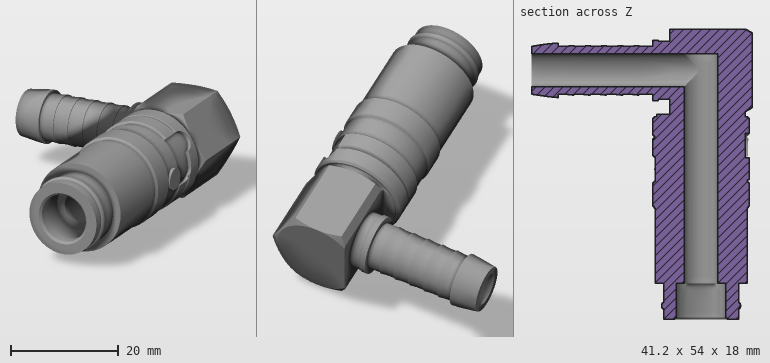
import cadquery as cq
import math


hex_flats = 16.65
hex_half_length = 7.65
hex_corner_radius = hex_flats / math.sqrt(3)
hex_end_radius = hex_flats / 2
hex_chamfer_angle = 30
barb_face_x = -5.85
barb_face_end_y = -8.15

overall_length = 54.0
tip_y = hex_half_length - overall_length
neck_radius = 8.25
sleeve_radius = 17.2 / 2
collar_radius = 18.0 / 2
collar_chamfer = 0.4
collar_end_taper = 0.55
neck_end_y = -8.6
collar_1_end_y = -12.35
collar_2_end_y = -16.2
collar_3_start_y = -20.6
collar_3_end_y = -25.7

shoulder_y = -39.65
nose_radius = 7.0
ring_radius = 7.4
ring_center_y = -43.75
ring_half_width = 0.65

passage_radius = 3.1
barb_bore_radius = 3.0
socket_radius = 4.6
socket_chamfer = 0.45
socket_floor_y = shoulder_y

barb_tip_x = -31.55
barb_tip_radius = 4.5
barb_head_x = -26.45
barb_head_radius = 5.15
barb_head_bulge = 0.08
stem_radius = 9.0 / 2
ridge_radius = 9.35 / 2
ridge_count = 5
ridge_pitch = 3.0
ridge_length = 1.45
first_ridge_end_x = -23.6
flange_start_x = -9.0
flange_end_x = -7.95
flange_radius = 5.65
barb_root_radius = 5.45

track_floor_radius = neck_radius
track_half_width = 2.1
track_end_y = -16.35
entry_center_y = -13.9
pocket_center_y = -11.9
pocket_angle = 35
pin_center_y = -18.3


def revolved(outline):
    """Turn a closed XY outline about the Y axis."""
    return outline.close().revolve(360, (0, 0, 0), (0, 1, 0))


def make_hex_block():
    """Hexagonal prism along Y with both ends chamfered by cones."""
    block = (
        cq.Workplane("XZ")
        .polygon(6, 2 * hex_corner_radius)
        .extrude(hex_half_length, both=True)
    )
    corner_drop = (hex_corner_radius - hex_end_radius) * math.tan(math.radians(hex_chamfer_angle))
    envelope = revolved(
        cq.Workplane("XY")
        .moveTo(0, -hex_half_length)
        .lineTo(hex_end_radius, -hex_half_length)
        .lineTo(hex_corner_radius, -hex_half_length + corner_drop)
        .lineTo(hex_corner_radius, hex_half_length - corner_drop)
        .lineTo(hex_end_radius, hex_half_length)
        .lineTo(0, hex_half_length)
    )
    neck = cq.Workplane("XZ").circle(neck_radius).extrude(-neck_end_y)
    return block.intersect(envelope).union(neck)


def cut_barb_face(block):
    """Flatten the block and the start of its neck on the barb side."""
    width = 2 * hex_corner_radius
    length = hex_half_length - barb_face_end_y
    waste = cq.Workplane("XY").box(width, length, width, centered=(False, False, True))
    return block.cut(waste.translate((barb_face_x - width, barb_face_end_y, 0)))


def make_body():
    """Sleeve with three collars, the plug nose and its retaining ring."""
    return revolved(
        cq.Workplane("XY")
        .moveTo(0, neck_end_y)
        .lineTo(sleeve_radius, neck_end_y)
        .lineTo(collar_radius, neck_end_y - collar_chamfer)
        .lineTo(collar_radius, collar_1_end_y + collar_chamfer)
        .lineTo(sleeve_radius, collar_1_end_y)
        .lineTo(collar_radius, collar_1_end_y - collar_chamfer)
        .lineTo(collar_radius, collar_2_end_y + collar_chamfer)
        .lineTo(sleeve_radius, collar_2_end_y)
        .lineTo(sleeve_radius, collar_3_start_y)
        .lineTo(collar_radius, collar_3_start_y - collar_chamfer)
        .lineTo(collar_radius, collar_3_end_y + collar_end_taper)
        .lineTo(sleeve_radius, collar_3_end_y)
        .lineTo(sleeve_radius, shoulder_y)
        .lineTo(nose_radius, shoulder_y)
        .lineTo(nose_radius, ring_center_y + ring_half_width)
        .threePointArc((ring_radius, ring_center_y), (nose_radius, ring_center_y - ring_half_width))
        .lineTo(nose_radius, tip_y)
        .lineTo(0, tip_y)
    )


def turned_to(shape, angle):
    """Swing a shape about the Y axis from +X towards +Z."""
    return shape.rotate((0, 0, 0), (0, 1, 0), -angle)


def radial_cylinder(center_y, length):
    """Cylinder as wide as the track, pointing along +X."""
    return cq.Workplane("YZ").center(center_y, 0).circle(track_half_width).extrude(length)


def radial_slot(center_y):
    """Round-topped slot along +X, open at the lower end of the track."""
    straight = (
        cq.Workplane("YZ")
        .moveTo(track_end_y, -track_half_width)
        .lineTo(center_y, -track_half_width)
        .lineTo(center_y, track_half_width)
        .lineTo(track_end_y, track_half_width)
        .close()
        .extrude(2 * collar_radius)
    )
    return radial_cylinder(center_y, 2 * collar_radius).union(straight)


def make_track():
    """Entry slot and locking pocket joined by a sector around the body."""
    entry_top_y = entry_center_y + track_half_width
    sector = (
        cq.Workplane("XY")
        .moveTo(0, track_end_y)
        .lineTo(2 * collar_radius, track_end_y)
        .lineTo(2 * collar_radius, entry_top_y)
        .lineTo(0, entry_top_y)
        .close()
        .revolve(pocket_angle, (0, 0, 0), (0, -1, 0))
    )
    core = cq.Workplane("XZ").circle(track_floor_radius).extrude(-tip_y)
    pocket = turned_to(radial_slot(pocket_center_y), pocket_angle)
    return radial_slot(entry_center_y).union(pocket).union(sector).cut(core)


def make_barb():
    """Hose barb with a swollen head, saw-tooth ridges and a stop flange."""
    outline = (
        cq.Workplane("XY")
        .moveTo(barb_tip_x, 0)
        .lineTo(barb_tip_x, barb_tip_radius)
        .threePointArc(
            (
                (barb_tip_x + barb_head_x) / 2,
                (barb_tip_radius + barb_head_radius) / 2 + barb_head_bulge,
            ),
            (barb_head_x, barb_head_radius),
        )
        .lineTo(barb_head_x, stem_radius)
    )
    for index in range(ridge_count):
        ridge_end_x = first_ridge_end_x + index * ridge_pitch
        outline = (
            outline.lineTo(ridge_end_x - ridge_length, stem_radius)
            .lineTo(ridge_end_x, ridge_radius)
            .lineTo(ridge_end_x, stem_radius)
        )
    return (
        outline.lineTo(flange_start_x, stem_radius)
        .lineTo(flange_start_x, flange_radius)
        .lineTo(flange_end_x, flange_radius)
        .lineTo(flange_end_x, barb_root_radius)
        .lineTo(0, barb_root_radius)
        .lineTo(0, 0)
        .close()
        .revolve(360, (0, 0, 0), (1, 0, 0))
    )


def make_bores():
    """Stepped bore from the nose, meeting the barb bore inside the block."""
    main_bore = revolved(
        cq.Workplane("XY")
        .moveTo(0, tip_y)
        .lineTo(socket_radius + socket_chamfer, tip_y)
        .lineTo(socket_radius, tip_y + socket_chamfer)
        .lineTo(socket_radius, socket_floor_y)
        .lineTo(passage_radius, socket_floor_y)
        .lineTo(passage_radius, passage_radius)
        .lineTo(0, passage_radius)
    )
    barb_bore = cq.Workplane("YZ").circle(barb_bore_radius).extrude(barb_tip_x)
    return main_bore.union(barb_bore)


body = make_body().cut(make_track()).union(radial_cylinder(pin_center_y, collar_radius))
elbow = cut_barb_face(make_hex_block()).union(make_barb())
result = elbow.union(body).cut(make_bores())